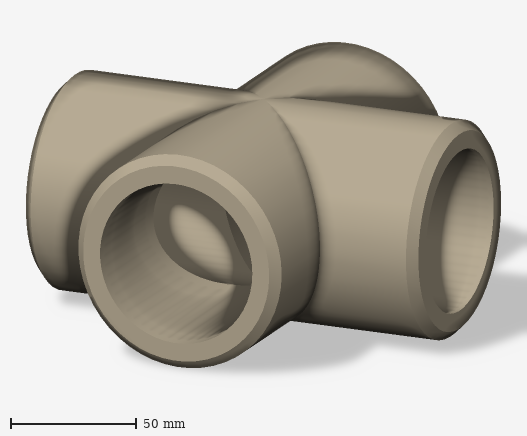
import cadquery as cq

run_length = 171.7
outer_diameter = 89.0
bore_diameter = 66.6
end_chamfer = 3.8


def centred_cylinder(plane, diameter):
    """Cylinder of the full run length, centred on the origin."""
    return cq.Workplane(plane).circle(diameter / 2).extrude(run_length / 2, both=True)


def chamfered_run(plane):
    """Solid run with both end rims chamfered."""
    return centred_cylinder(plane, outer_diameter).faces("%PLANE").edges().chamfer(end_chamfer)


run_planes = ("YZ", "XZ")

result = chamfered_run(run_planes[0]).union(chamfered_run(run_planes[1]))

for run_plane in run_planes:
    result = result.cut(centred_cylinder(run_plane, bore_diameter))